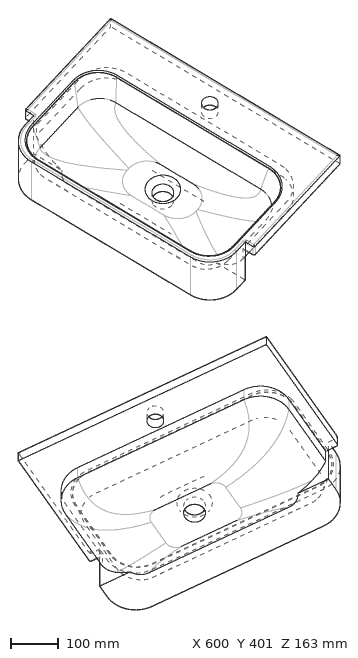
import cadquery as cq
import math

slab_width = 600.0
depth = 401.0
slab_thickness = 30.0
wing_corner_radius = 3.5
edge_bevel_width = 5.0
edge_bevel_drop = 1.0

apron_width = 553.5
apron_depth = 100.0
apron_height = 134.0
apron_radius = 69.0

opening_width = 524.5
opening_front = 14.0
opening_back = 286.0
opening_radius = 63.0
rim_bevel = 3.0

cavity_wall_end = (492.0, 24.0, 271.0, 57.0, -69.0)
cavity_slope = (396.0, 60.0, 249.0, 42.0, -102.0)

bowl_width = 540.0
bowl_front = 6.0
bowl_back = 323.5
bowl_wall_depth = 66.0
total_height = 163.0
bowl_middle = (411.0, 78.5, 263.0, 36.0, -apron_height)
bowl_bottom = (180.0, 122.0, 231.0, 24.0, -total_height)

drain_y = 182.0
drain_diameter = 45.5
drain_recess_diameter = 74.5
drain_recess_depth = 12.0
drain_floor_depth = 125.0
cavity_floor = (180.0, 129.0, 231.0, 48.0, -drain_floor_depth)
tap_y = 346.5
tap_diameter = 35.0


def section(width, front, back, radius, z):
    """Rounded rectangle at height z, symmetric about X = 0."""
    sketch = cq.Sketch().rect(width, back - front).vertices().fillet(radius)
    return sketch.moved(cq.Location(cq.Vector(0, (front + back) / 2, z)))


def loft(*sections, ruled=False):
    return cq.Workplane("XY").placeSketch(*sections).loft(ruled=ruled)


def make_outline(z):
    """Closed plan outline of slab and apron at height z."""
    right_side = [
        (apron_width / 2, 0),
        (apron_width / 2, apron_depth),
        (slab_width / 2, apron_depth),
        (slab_width / 2, depth),
    ]
    left_side = [(-x, y) for x, y in reversed(right_side)]
    outline = (
        cq.Sketch()
        .polygon(right_side + left_side + right_side[:1])
        .vertices("<Y")
        .fillet(apron_radius)
        .reset()
        .vertices("<X or >X")
        .vertices("<Y")
        .fillet(wing_corner_radius)
        .reset()
    )
    return cq.Workplane("XY").workplane(offset=z).placeSketch(outline)


def make_top():
    """Slab and front apron, with one shallow bevel along the shared top edge."""
    body = make_outline(-apron_height).extrude(apron_height - edge_bevel_drop)
    under_slab = (
        cq.Workplane("XY")
        .box(slab_width, depth - apron_depth, apron_height - slab_thickness, centered=(True, False, False))
        .translate((0, apron_depth, -apron_height))
    )
    bevel_angle = math.degrees(math.atan(edge_bevel_width / edge_bevel_drop))
    bevel = make_outline(-edge_bevel_drop).extrude(edge_bevel_drop, taper=bevel_angle)
    return body.cut(under_slab).union(bevel)


def make_bowl():
    """Upright wall that turns into a tapering underside with a flat bottom."""
    rim = section(bowl_width, bowl_front, bowl_back, apron_radius, -slab_thickness / 2)
    wall_end = section(bowl_width, bowl_front, bowl_back, apron_radius, -bowl_wall_depth)
    middle = section(*bowl_middle)
    bottom = section(*bowl_bottom)
    return loft(rim, wall_end, ruled=True).union(loft(wall_end, middle, bottom))


def make_cavity():
    """Nearly upright inner wall above a floor that falls towards the drain."""
    mouth = section(opening_width, opening_front, opening_back, opening_radius, 0)
    wall_end = section(*cavity_wall_end)
    slope = section(*cavity_slope)
    floor = section(*cavity_floor)
    return loft(mouth, wall_end, ruled=True).union(loft(wall_end, slope, floor))


def make_rim_bevel():
    """Narrow sloped edge around the basin opening."""
    mouth = section(
        opening_width + 2 * rim_bevel, opening_front - rim_bevel,
        opening_back + rim_bevel, opening_radius + rim_bevel, 0,
    )
    below = section(opening_width, opening_front, opening_back, opening_radius, -rim_bevel)
    return loft(mouth, below, ruled=True)


def make_drain():
    """Conical recess in the floor leading into a through hole."""
    hole = cq.Workplane("XY").circle(drain_diameter / 2).extrude(-total_height)
    recess = (
        cq.Workplane("XY")
        .workplane(offset=-drain_floor_depth)
        .circle(drain_recess_diameter / 2)
        .workplane(offset=-drain_recess_depth)
        .circle(drain_diameter / 2)
        .loft()
    )
    return hole.union(recess).translate((0, drain_y, 0))


tap_hole = cq.Workplane("XY").center(0, tap_y).circle(tap_diameter / 2).extrude(-slab_thickness)

result = (
    make_top()
    .union(make_bowl())
    .cut(make_cavity())
    .cut(make_rim_bevel())
    .cut(make_drain())
    .cut(tap_hole)
)